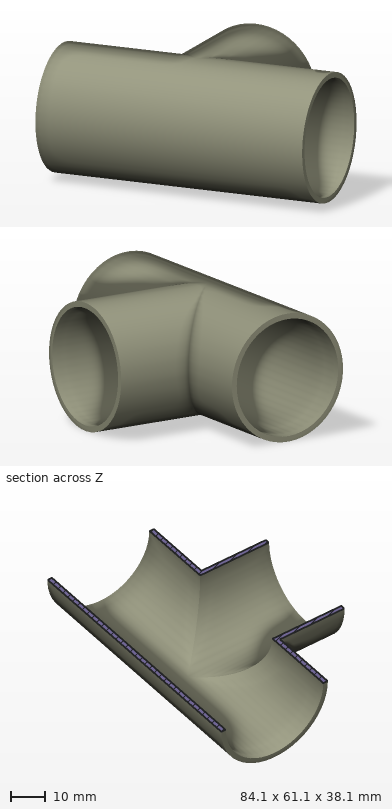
import cadquery as cq

run_length = 84.1
outer_diameter = 38.1
bore_diameter = 34.8
branch_reach = run_length / 2


def tee_body(diameter):
    """Solid tee made of two crossing cylinders of one diameter."""
    run = cq.Workplane("YZ").circle(diameter / 2).extrude(run_length / 2, both=True)
    branch = cq.Workplane("XZ").circle(diameter / 2).extrude(-branch_reach)
    return run.union(branch)


result = tee_body(outer_diameter).cut(tee_body(bore_diameter))